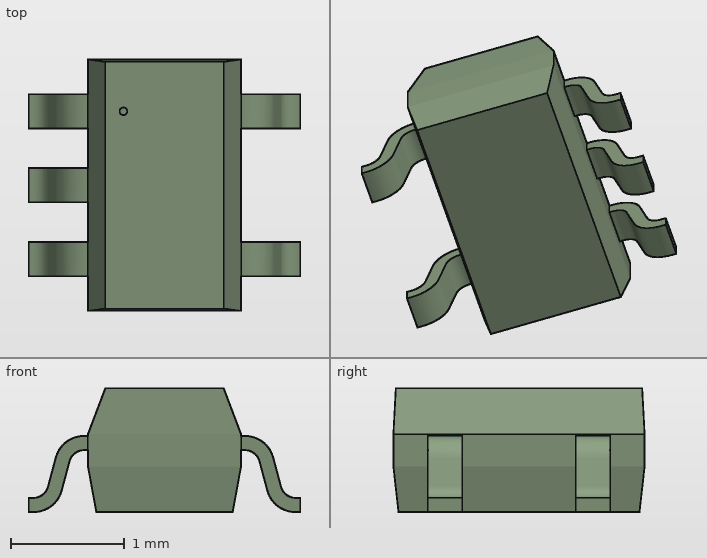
import cadquery as cq
import math

SPAN_X = 2.39
HOUSING_X = 1.348
HOUSING_Y = 2.21
HEIGHT = 1.09

BELT_HEIGHT = 0.282
BELT_BOTTOM = (HEIGHT - BELT_HEIGHT) / 2
BELT_TOP = BELT_BOTTOM + BELT_HEIGHT
TOP_INSET_X = 0.153
TOP_INSET_Y = 0.022
BOTTOM_INSET_X = 0.075
BOTTOM_INSET_Y = 0.045

LEAD_WIDTH = 0.304
LEAD_PITCH = 0.65
LEAD_THICKNESS = 0.127
LEAD_TOP = 0.672
LEAD_ANGLE = 75.0
INNER_RADIUS = 0.131
OUTER_RADIUS = INNER_RADIUS + LEAD_THICKNESS
FOOT_FLAT = 0.043
LEFT_LEADS = (-1, 0, 1)
RIGHT_LEADS = (-1, 1)

MARKER_DIAMETER = 0.067
MARKER_DEPTH = 0.012
MARKER_X = -0.36
MARKER_Y = LEAD_PITCH


def tapered_half(end_z, belt_z, inset_x, inset_y):
    """Loft from the belt outline to a smaller end face."""
    return (
        cq.Workplane("XY", origin=(0, 0, belt_z))
        .rect(HOUSING_X, HOUSING_Y)
        .workplane(offset=end_z - belt_z)
        .rect(HOUSING_X - 2 * inset_x, HOUSING_Y - 2 * inset_y)
        .loft(ruled=True)
    )


def make_marker():
    return (
        cq.Workplane("XY", origin=(MARKER_X, MARKER_Y, HEIGHT - MARKER_DEPTH))
        .circle(MARKER_DIAMETER / 2)
        .extrude(MARKER_DEPTH)
    )


def make_housing():
    belt = (
        cq.Workplane("XY", origin=(0, 0, BELT_BOTTOM))
        .rect(HOUSING_X, HOUSING_Y)
        .extrude(BELT_HEIGHT)
    )
    upper_half = tapered_half(HEIGHT, BELT_TOP, TOP_INSET_X, TOP_INSET_Y)
    lower_half = tapered_half(0, BELT_BOTTOM, BOTTOM_INSET_X, BOTTOM_INSET_Y)
    return belt.union(upper_half).union(lower_half).cut(make_marker())


def arc_point(center, radius, degrees):
    angle = math.radians(degrees)
    return (center[0] + radius * math.cos(angle), center[1] + radius * math.sin(angle))


def make_left_lead(y):
    """S-shaped strip from the foot tip to the left side of the housing."""
    tip_x = -SPAN_X / 2
    root_x = -HOUSING_X / 2

    foot = (tip_x + FOOT_FLAT, OUTER_RADIUS)
    shoulder_z = LEAD_TOP - OUTER_RADIUS
    slope = math.radians(LEAD_ANGLE)
    rise = shoulder_z - foot[1]
    run = ((INNER_RADIUS + OUTER_RADIUS) + rise * math.cos(slope)) / math.sin(slope)
    shoulder = (foot[0] + run, shoulder_z)

    foot_start = -90
    foot_end = foot_start + LEAD_ANGLE
    foot_middle = (foot_start + foot_end) / 2
    shoulder_start = 90
    shoulder_end = shoulder_start + LEAD_ANGLE
    shoulder_middle = (shoulder_start + shoulder_end) / 2

    return (
        cq.Workplane("XZ", origin=(0, y + LEAD_WIDTH / 2, 0))
        .moveTo(tip_x, 0)
        .lineTo(*arc_point(foot, OUTER_RADIUS, foot_start))
        .threePointArc(arc_point(foot, OUTER_RADIUS, foot_middle), arc_point(foot, OUTER_RADIUS, foot_end))
        .lineTo(*arc_point(shoulder, INNER_RADIUS, shoulder_end))
        .threePointArc(
            arc_point(shoulder, INNER_RADIUS, shoulder_middle),
            arc_point(shoulder, INNER_RADIUS, shoulder_start),
        )
        .lineTo(root_x, LEAD_TOP - LEAD_THICKNESS)
        .lineTo(root_x, LEAD_TOP)
        .lineTo(*arc_point(shoulder, OUTER_RADIUS, shoulder_start))
        .threePointArc(
            arc_point(shoulder, OUTER_RADIUS, shoulder_middle),
            arc_point(shoulder, OUTER_RADIUS, shoulder_end),
        )
        .lineTo(*arc_point(foot, INNER_RADIUS, foot_end))
        .threePointArc(arc_point(foot, INNER_RADIUS, foot_middle), arc_point(foot, INNER_RADIUS, foot_start))
        .lineTo(tip_x, LEAD_THICKNESS)
        .close()
        .extrude(LEAD_WIDTH)
    )


housing = make_housing()
marker = make_marker()

leads = []
for position in LEFT_LEADS:
    leads.append(make_left_lead(position * LEAD_PITCH).val())
for position in RIGHT_LEADS:
    leads.append(make_left_lead(position * LEAD_PITCH).mirror("YZ").val())

result = cq.Compound.makeCompound([housing.val(), marker.val(), *leads])